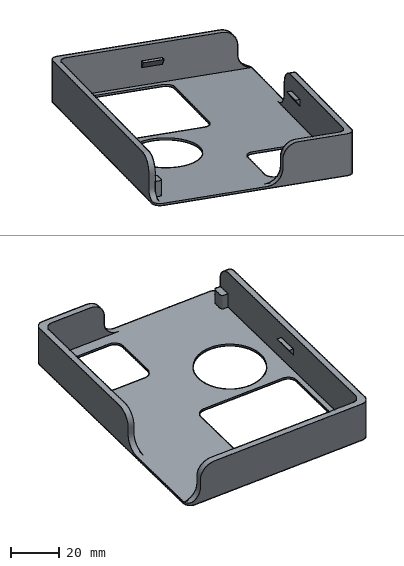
import cadquery as cq
import math

LENGTH = 118.0
WIDTH = 89.0
HEIGHT = 19.0
FLOOR = 1.0
WALL = 2.8
CORNER_R = 3.5
INNER_X = LENGTH - WALL
INNER_Y = WIDTH - WALL

END_R = 7.0
UPRIGHT_TOP = HEIGHT - END_R
FRONT_END_X = 111.0
FRONT_FOOT_R = INNER_X - FRONT_END_X
LEFT_END_Y = 82.7
BACK_END_X = 46.0
RIGHT_END_Y = 56.9

BIG_WINDOW = 46.7
BIG_WINDOW_CORNER = (5.3, 5.3)
SMALL_WINDOW = 27.3
SMALL_WINDOW_CORNER = (82.8, 53.6)
WINDOW_R = 4.0
ROUND_WINDOW_D = 30.5
ROUND_WINDOW_CENTER = (70.5, 23.7)

CLIP_LENGTH = 9.2
CLIP_DEPTH = 2.1
CLIP_HEIGHT = 3.1
CLIP_TOP = UPRIGHT_TOP

BLOCK_LENGTH = 5.9
BLOCK_REACH = 3.2
BLOCK_END_X = FRONT_END_X - 0.2
BLOCK_TOP = 8.0
BLOCK_R = 1.2


def block(x0, y0, z0, x1, y1, z1):
    """Box between two opposite corners."""
    return cq.Workplane("XY").box(x1 - x0, y1 - y0, z1 - z0, centered=False).translate((x0, y0, z0))


def wall_end_cutter(plane, end, open_side, limit, start, depth, foot_r=END_R):
    """Space beyond an S-shaped wall end; open_side is +1 or -1 along the wall."""
    convex_start = end - open_side * END_R
    concave_end = end + open_side * foot_r
    upright_bottom = FLOOR + foot_r
    diagonal = END_R * math.sqrt(0.5)
    foot_diagonal = foot_r * math.sqrt(0.5)
    return (
        cq.Workplane(plane, origin=start)
        .moveTo(convex_start, HEIGHT)
        .threePointArc(
            (convex_start + open_side * diagonal, UPRIGHT_TOP + diagonal),
            (end, UPRIGHT_TOP),
        )
        .lineTo(end, upright_bottom)
        .threePointArc(
            (concave_end - open_side * foot_diagonal, upright_bottom - foot_diagonal),
            (concave_end, FLOOR),
        )
        .lineTo(limit, FLOOR)
        .lineTo(limit, HEIGHT)
        .close()
        .extrude(depth)
    )


def make_tray():
    tray = block(0, 0, 0, LENGTH, WIDTH, HEIGHT).edges("|Z").fillet(CORNER_R)
    cavity = block(WALL, WALL, FLOOR, INNER_X, INNER_Y, HEIGHT)
    cavity = cavity.edges("(|Z and <X and <Y) or (|Z and >X and >Y)").fillet(CORNER_R)
    return tray.cut(cavity)


def trim_walls(tray):
    front = wall_end_cutter("XZ", FRONT_END_X, 1, LENGTH + END_R, (0, WALL, 0), WALL,
                            FRONT_FOOT_R)
    back = wall_end_cutter("XZ", BACK_END_X, -1, WALL, (0, WIDTH, 0), WALL)
    left = wall_end_cutter("YZ", LEFT_END_Y, 1, WIDTH + END_R, (0, 0, 0), WALL)
    right = wall_end_cutter("YZ", RIGHT_END_Y, -1, 0, (INNER_X, 0, 0), WALL)
    for cutter in (front, back, left, right):
        tray = tray.cut(cutter)
    return tray


def cut_windows(tray):
    for size, (x, y) in ((BIG_WINDOW, BIG_WINDOW_CORNER), (SMALL_WINDOW, SMALL_WINDOW_CORNER)):
        tray = tray.cut(block(x, y, 0, x + size, y + size, FLOOR).edges("|Z").fillet(WINDOW_R))
    round_window = cq.Workplane("XY").center(*ROUND_WINDOW_CENTER).circle(ROUND_WINDOW_D / 2).extrude(FLOOR)
    return tray.cut(round_window)


def snap_clip(x, y, turn):
    """Wedge with a flat top, pointing along +Y before it is turned about Z."""
    return (
        cq.Workplane("YZ")
        .moveTo(0, CLIP_TOP)
        .lineTo(CLIP_DEPTH, CLIP_TOP)
        .lineTo(0, CLIP_TOP - CLIP_HEIGHT)
        .close()
        .extrude(CLIP_LENGTH / 2, both=True)
        .rotate((0, 0, 0), (0, 0, 1), turn)
        .translate((x, y, 0))
    )


def locating_block():
    return (
        block(BLOCK_END_X - BLOCK_LENGTH, WALL, 0, BLOCK_END_X, WALL + BLOCK_REACH, BLOCK_TOP)
        .edges("|Z and >Y")
        .fillet(BLOCK_R)
    )


result = cut_windows(trim_walls(make_tray()))
for clip_x, clip_y, clip_turn in (
    (LENGTH / 2, WALL, 0),
    (LENGTH / 2, INNER_Y, 180),
    (WALL, WIDTH / 2, -90),
):
    result = result.union(snap_clip(clip_x, clip_y, clip_turn))
result = result.union(locating_block())